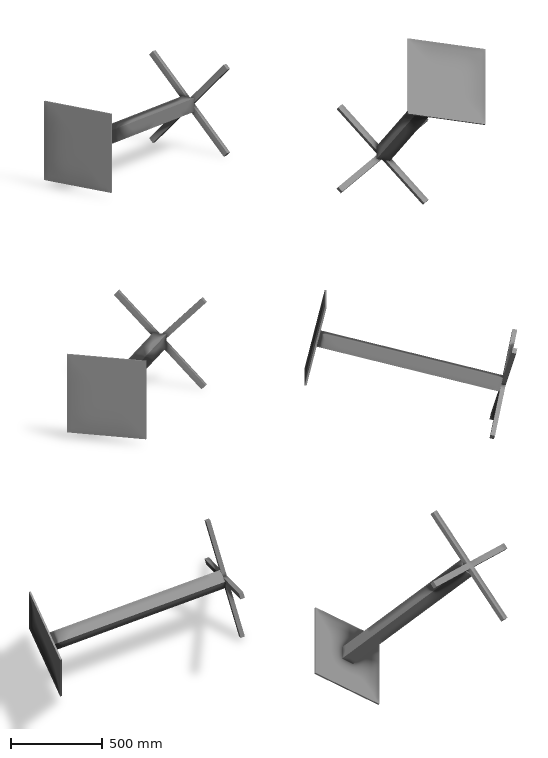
import cadquery as cq

total_length = 1080.0
cross_extent = 525.0

plate_side = 450.0
plate_thickness = 10.0
post_side = 78.0
arm_width = 35.0
arm_thickness = 25.0
arm_angles = (45, -45)

arm_length = cross_extent * 2 ** 0.5 - arm_width
post_length = total_length - plate_thickness - arm_thickness
front_y = -total_length / 2
post_start_y = front_y + plate_thickness
cross_start_y = post_start_y + post_length


def box_along_y(size_x, size_z, start_y, length):
    """Box centred on the Y axis, running from start_y toward +Y."""
    return cq.Workplane("XY").box(size_x, length, size_z).translate((0, start_y + length / 2, 0))


def make_pedestal():
    """Square plate with the square post standing on it."""
    plate = box_along_y(plate_side, plate_side, front_y, plate_thickness)
    post = box_along_y(post_side, post_side, post_start_y, post_length)
    return plate.union(post)


def make_cross():
    """Two flat bars crossing at right angles in one plane."""
    cross = cq.Workplane("XY")
    for angle in arm_angles:
        bar = box_along_y(arm_length, arm_width, cross_start_y, arm_thickness)
        cross = cross.add(bar.rotate((0, 0, 0), (0, 1, 0), angle))
    return cross.combine()


pedestal = make_pedestal()
cross = make_cross()

result = cq.Compound.makeCompound([pedestal.val(), cross.val()])